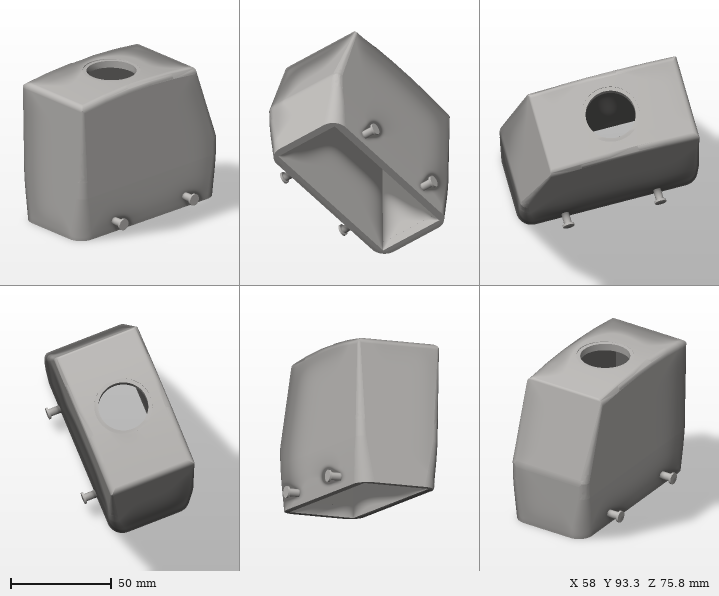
import cadquery as cq
import math

length = 93.3
half_length = length / 2
half_width = 22.6
half_width_seam = 22.0
half_width_foot = 21.6
peak_height = 75.8
wall = 3.9
overlap = 1.9

seam_low = 6.9
seam_high = 23.3
seam_mid = (seam_low + seam_high) / 2
half_width_mid = half_width - (half_width - half_width_seam) / 4
knee_height = 32.0
loft_top = 78.4

end_draft = 1.0 / 80
shoulder_y = 30.7
shoulder_height = 73.6
knee_radius = 10.3

back_top_y = -half_length + end_draft * shoulder_height

crown_y = -6.4
crown_radius = 293.9
side_top_radius = 3.2
back_top_radius = 3.0
shoulder_radius = 1.5

corner_foot = 7.7
corner_seam_low = 6.7
corner_seam_high = 4.1
corner_seam_mid = (corner_seam_low + corner_seam_high) / 2
corner_shrink = 0.06

entry_y = -5.8
entry_radius = 12.5
spotface_radius = 14.5
spotface_height = 75.4

pin_spacing = 47.5
pin_height = 6.1
pin_reach = 29.0
pin_radius = 2.0
pin_head_radius = 3.0
pin_head_thickness = 1.1


def back_y(z):
    """Y of the -Y end wall at height z."""
    return -half_length + end_draft * z


def front_y(z):
    """Y of the +Y end wall at height z: near upright, then leaning above the knee."""
    if z <= knee_height:
        return half_length - end_draft * z
    knee_y = half_length - end_draft * knee_height
    lean = (knee_y - shoulder_y) / (shoulder_height - knee_height)
    return knee_y - lean * (z - knee_height)


def upper_corner(z):
    """Corner radius above the high seam."""
    return corner_seam_high - corner_shrink * (z - seam_high)


def crown_z(y):
    """Height of the crowned top at y."""
    return peak_height - crown_radius + math.sqrt(crown_radius**2 - (y - crown_y) ** 2)


def section(z, half_x, radius):
    """Rounded rectangular cross-section of the hood at height z."""
    depth = front_y(z) - back_y(z)
    middle = (front_y(z) + back_y(z)) / 2
    block = cq.Workplane("XY").box(2 * half_x, depth, overlap, centered=(True, True, False))
    block = block.edges("|Z").fillet(radius).translate((0, middle, z))
    return block.faces("<Z").wires().val()


def loft(sections, ruled):
    """Solid through a list of cross-sections."""
    return cq.Workplane(cq.Solid.makeLoft(sections, ruled))


def drafted_block():
    """Untrimmed hood whose upright corners open out toward the foot."""
    foot = section(0, half_width_foot, corner_foot)
    low = section(seam_low, half_width_seam, corner_seam_low)
    middle = section(seam_mid, half_width_mid, corner_seam_mid)
    high = section(seam_high, half_width, corner_seam_high)
    knee = section(knee_height, half_width, upper_corner(knee_height))
    top = section(loft_top, half_width, upper_corner(loft_top))
    rim = loft([foot, low], ruled=True)
    swell = loft([low, middle, high], ruled=False)
    upper = loft([high, knee, top], ruled=True)
    return rim.union(swell).union(upper)


def side_outline():
    """Closed side outline of the hood with sharp corners and a crowned top."""
    return (
        cq.Workplane("YZ")
        .moveTo(-half_length, 0)
        .lineTo(half_length, 0)
        .lineTo(front_y(knee_height), knee_height)
        .lineTo(shoulder_y, crown_z(shoulder_y))
        .threePointArc((crown_y, peak_height), (back_top_y, crown_z(back_top_y)))
        .close()
    )


def side_prism(half_x):
    """Side outline extruded along X; the knee and both ends of the top are rounded."""
    prism = side_outline().extrude(half_x, both=True)
    corners = (
        (front_y(knee_height), knee_height, knee_radius),
        (shoulder_y, crown_z(shoulder_y), shoulder_radius),
        (back_top_y, crown_z(back_top_y), back_top_radius),
    )
    for y, z, radius in corners:
        nearest = cq.selectors.NearestToPointSelector((0, y, z))
        prism = prism.edges(nearest).fillet(radius)
    return prism


def crowned_bar():
    """Bar longer than the hood, with both long edges of its crowned top rounded."""
    end_y = half_length + overlap
    bar = (
        cq.Workplane("YZ")
        .moveTo(-end_y, -overlap)
        .lineTo(end_y, -overlap)
        .lineTo(end_y, crown_z(end_y))
        .threePointArc((crown_y, peak_height), (-end_y, crown_z(-end_y)))
        .close()
        .extrude(half_width, both=True)
    )
    return bar.faces(">Z").edges("%CIRCLE").fillet(side_top_radius)


def cavity():
    """Inside of the hood, open at the foot, one wall thickness in from the side outline."""
    half_x = half_width_foot - wall
    inner = side_outline().offset2D(-wall).extrude(half_x, both=True)
    mouth_length = length - 2 * wall - 2 * end_draft * wall
    mouth = cq.Workplane("XY").box(2 * half_x, mouth_length, wall + overlap, centered=(True, True, False))
    return inner.union(mouth)


def cable_entry():
    """Round hole through the top with a shallow flat spotface around it."""
    top = cq.Workplane("XY", origin=(0, entry_y, spotface_height))
    spotface = top.circle(spotface_radius).extrude(overlap)
    return top.circle(entry_radius).extrude(-2 * wall).union(spotface)


def locking_pin(side, y):
    """Headed pin pointing outward; side is +1 or -1 along X."""
    root_x = half_width_foot - wall / 2
    plane = cq.Plane(origin=(side * root_x, y, pin_height), xDir=(0, 1, 0), normal=(side, 0, 0))
    reach = pin_reach - root_x
    shaft = cq.Workplane(plane).circle(pin_radius).extrude(reach)
    head = (
        cq.Workplane(plane)
        .workplane(offset=reach - pin_head_thickness)
        .circle(pin_head_radius)
        .extrude(pin_head_thickness)
    )
    return shaft.union(head)


hood = drafted_block().intersect(side_prism(half_width + overlap)).intersect(crowned_bar())
hood = hood.cut(cavity()).cut(cable_entry())
for side in (-1, 1):
    for y in (-pin_spacing / 2, pin_spacing / 2):
        hood = hood.union(locking_pin(side, y))

result = hood